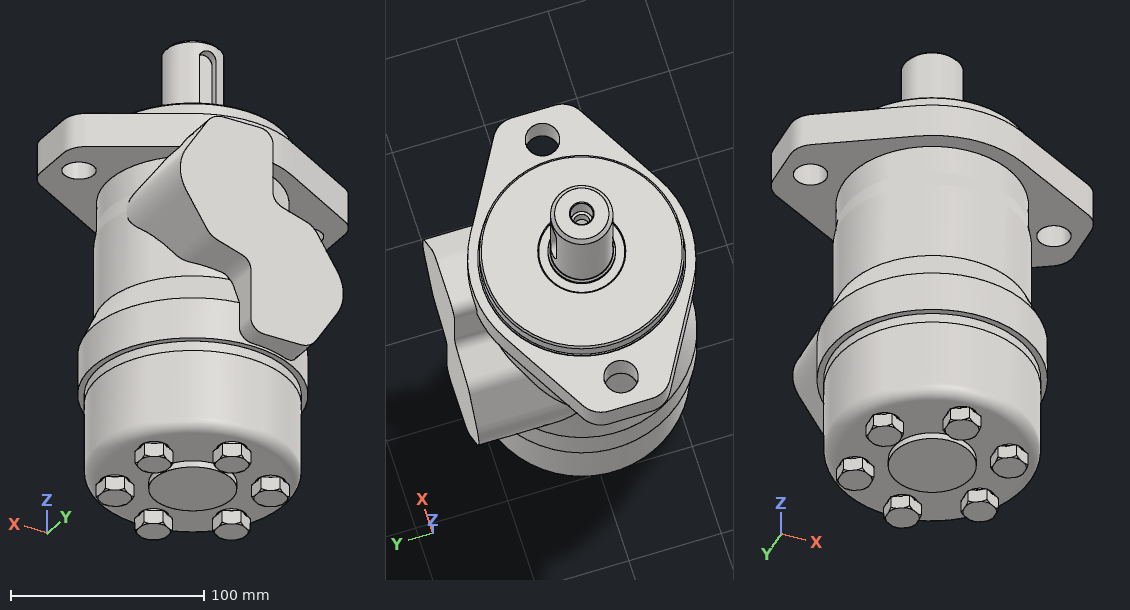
import cadquery as cq
import math

cap_bottom_z = 9.3
housing_bottom_z = 56.0
shoulder_bottom_z = 61.5
shoulder_top_z = 85.3
body_bottom_z = 103.0
body_top_z = 149.2
neck_bottom_z = 158.7
flange_bottom_z = 175.7
flange_top_z = 195.5
pilot_top_z = 205.9
shaft_top_z = 265.0

spigot_radius = 56.2
shoulder_radius = 59.5
body_radius = 51.5
neck_radius = 49.8
pilot_radius = 53.0
pilot_chamfer = 1.0
pilot_foot_radius = 53.8
pilot_foot_height = 0.8
seal_recess_radius = 22.3
seal_recess_flare = 0.5
seal_recess_depth = 0.5
seal_floor_z = pilot_top_z - seal_recess_depth

flange_half_length = 84.3
flange_waist_radius = 59.0
flange_side_normal = 60.0
flange_corner_radius = 13.8
mount_hole_offset = 68.0
mount_hole_diameter = 17.8

port_face_y = 71.0
port_center_z = 124.3
port_half_height = 61.2
port_step_x = 6.5
port_ledge_height = 19.3
port_ledge_slope = 17.4
port_flank_slope = 57.5
port_nose_x = 53.3
port_nose_drop = 23.5
port_step_fillet = 7.7
port_corner_fillet = 11.7
port_nose_fillet = 23.8

cap_fillet = 6.5
cap_boss_radius = 22.8
cap_boss_height = 3.7

shaft_radius = 16.2
shaft_chamfer = 2.0
collar_radius = 17.5
collar_top_z = 208.2
collar_chamfer = 1.0
center_hole_radius = 5.8
center_hole_chamfer = 0.5
center_hole_depth = 13.2
drill_radius = 4.2
drill_depth = 21.2
drill_cone_height = 2.6
keyway_width = 10.0
keyway_depth = 5.0
keyway_angle = 90.0
keyway_bottom_z = 217.3
keyway_top_z = 258.5

bolt_count = 6
bolt_circle_radius = 40.3
bolt_first_angle = 30.0
bolt_across_flats = 17.0
hexagon_sides = 6
corner_to_y_angle = 90.0
bolt_head_height = 8.0
bolt_head_chamfer = 1.0
bolt_washer_radius = 8.0


def revolved(profile):
    """Turn a closed (radius, z) outline about the Z axis."""
    return cq.Workplane("XZ").polyline(profile).close().revolve(360, (0, 0, 0), (0, 1, 0))


def make_barrel():
    """Turned part of the housing, from the spigot up to the pilot and its seal recess."""
    foot_top_z = flange_top_z + pilot_foot_height
    return revolved([
        (0, housing_bottom_z),
        (spigot_radius, housing_bottom_z),
        (spigot_radius, shoulder_bottom_z),
        (shoulder_radius, shoulder_bottom_z),
        (shoulder_radius, shoulder_top_z),
        (body_radius, body_bottom_z),
        (body_radius, body_top_z),
        (neck_radius, neck_bottom_z),
        (neck_radius, flange_top_z),
        (pilot_foot_radius, flange_top_z),
        (pilot_foot_radius, foot_top_z),
        (pilot_radius, foot_top_z),
        (pilot_radius, pilot_top_z - pilot_chamfer),
        (pilot_radius - pilot_chamfer, pilot_top_z),
        (seal_recess_radius + seal_recess_flare, pilot_top_z),
        (seal_recess_radius, seal_floor_z),
        (0, seal_floor_z),
    ])


def make_flange():
    """Two-bolt flange: round waist, tangent sloping sides, rounded end corners."""
    normal = math.radians(flange_side_normal)
    tangent_x = flange_waist_radius * math.cos(normal)
    tangent_y = flange_waist_radius * math.sin(normal)
    corner_y = (flange_waist_radius - flange_half_length * math.cos(normal)) / math.sin(normal)
    thickness = flange_top_z - flange_bottom_z
    flange = (
        cq.Workplane("XY", origin=(0, 0, flange_bottom_z))
        .moveTo(flange_half_length, -corner_y)
        .lineTo(flange_half_length, corner_y)
        .lineTo(tangent_x, tangent_y)
        .threePointArc((0, flange_waist_radius), (-tangent_x, tangent_y))
        .lineTo(-flange_half_length, corner_y)
        .lineTo(-flange_half_length, -corner_y)
        .lineTo(-tangent_x, -tangent_y)
        .threePointArc((0, -flange_waist_radius), (tangent_x, -tangent_y))
        .close()
        .extrude(thickness)
    )
    end_corners = flange.faces("<X or >X").edges("|Z")
    flange = end_corners.fillet(flange_corner_radius)
    return (
        flange.faces(">Z").workplane(origin=(0, 0, flange_top_z))
        .pushPoints([(-mount_hole_offset, 0), (mount_hole_offset, 0)])
        .hole(mount_hole_diameter)
    )


def make_port_block():
    """Block for two staggered ports; its outline repeats when turned half a turn."""
    ledge_slope = math.tan(math.radians(port_ledge_slope))
    flank_slope = math.tan(math.radians(port_flank_slope))

    ledge_rise = port_ledge_height + ledge_slope * port_step_x
    flank_rise = flank_slope * port_nose_x - port_nose_drop
    ledge_end_x = (flank_rise - ledge_rise) / (ledge_slope - flank_slope)
    ledge_end_z = ledge_rise + ledge_slope * ledge_end_x
    foot_x = -port_nose_x + (port_half_height - port_nose_drop) / flank_slope

    half_corners = [
        (-port_step_x, port_half_height, port_step_fillet),
        (-port_step_x, port_ledge_height, port_step_fillet),
        (ledge_end_x, ledge_end_z, port_corner_fillet),
        (-port_nose_x, -port_nose_drop, port_nose_fillet),
        (foot_x, -port_half_height, port_corner_fillet),
    ]
    corners = half_corners + [(-x, -z, radius) for x, z, radius in half_corners]

    block = (
        cq.Workplane("XZ", origin=(0, 0, port_center_z))
        .polyline([(x, z) for x, z, _ in corners])
        .close()
        .extrude(-port_face_y)
    )
    for x, z, radius in corners:
        middle = (x, port_face_y / 2, port_center_z + z)
        block = block.edges(cq.NearestToPointSelector(middle)).fillet(radius)
    return block


def make_housing():
    return make_barrel().union(make_flange()).union(make_port_block())


def make_end_cap():
    """Gear set cover: rounded lower rim and a round boss below."""
    cap = (
        cq.Workplane("XY", origin=(0, 0, cap_bottom_z))
        .circle(spigot_radius)
        .extrude(housing_bottom_z - cap_bottom_z)
        .faces("<Z").edges().fillet(cap_fillet)
    )
    boss = (
        cq.Workplane("XY", origin=(0, 0, cap_bottom_z))
        .circle(cap_boss_radius)
        .extrude(-cap_boss_height)
    )
    return cap.union(boss)


def make_shaft():
    """Keyed output shaft standing on the floor of the seal recess."""
    hole_floor_z = shaft_top_z - center_hole_depth
    drill_end_z = shaft_top_z - drill_depth
    shaft = revolved([
        (0, seal_floor_z),
        (collar_radius, seal_floor_z),
        (collar_radius, collar_top_z - collar_chamfer),
        (collar_radius - collar_chamfer, collar_top_z),
        (shaft_radius, collar_top_z),
        (shaft_radius, shaft_top_z - shaft_chamfer),
        (shaft_radius - shaft_chamfer, shaft_top_z),
        (center_hole_radius + center_hole_chamfer, shaft_top_z),
        (center_hole_radius, shaft_top_z - center_hole_chamfer),
        (center_hole_radius, hole_floor_z),
        (drill_radius, hole_floor_z),
        (drill_radius, drill_end_z),
        (0, drill_end_z - drill_cone_height),
    ])
    keyway = (
        cq.Workplane("XZ", origin=(0, shaft_radius, (keyway_bottom_z + keyway_top_z) / 2))
        .slot2D(keyway_top_z - keyway_bottom_z, keyway_width, keyway_angle)
        .extrude(keyway_depth)
    )
    return shaft.cut(keyway)


def make_bolt(angle):
    """Hexagon head with two corners along Y and a washer face against the end cap."""
    corner_radius = bolt_across_flats / math.sqrt(3)
    head = cq.Workplane("XY").polygon(hexagon_sides, 2 * corner_radius).extrude(bolt_head_height)
    head = head.rotate((0, 0, 0), (0, 0, 1), corner_to_y_angle)
    chamfered_blank = (
        cq.Workplane("XY").circle(corner_radius).extrude(bolt_head_height)
        .faces("<Z").chamfer(bolt_head_chamfer)
    )
    washer_face = (
        cq.Workplane("XY", origin=(0, 0, bolt_head_height))
        .circle(bolt_washer_radius)
        .extrude(cap_bottom_z - bolt_head_height)
    )
    x = bolt_circle_radius * math.cos(math.radians(angle))
    y = bolt_circle_radius * math.sin(math.radians(angle))
    return head.intersect(chamfered_blank).union(washer_face).translate((x, y, 0))


housing = make_housing()
end_cap = make_end_cap()
shaft = make_shaft()
bolts = [make_bolt(bolt_first_angle + 360 / bolt_count * index) for index in range(bolt_count)]

result = cq.Compound.makeCompound([
    housing.val(),
    end_cap.val(),
    shaft.val(),
    *[bolt.val() for bolt in bolts],
])